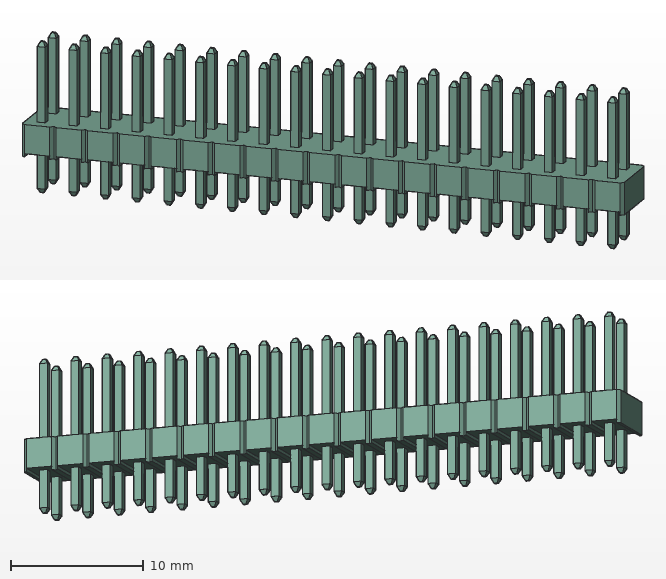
import cadquery as cq

strip_length = 48.25
column_count = 19
row_count = 2
pitch = strip_length / column_count

strip_width = row_count * pitch
strip_height = 2.55
corner_chamfer = 0.255
foot_width = corner_chamfer
channel_depth = 0.255

overall_height = 11.9
pin_size = pitch / 4
pin_above_strip = 6.3
pin_top = strip_height + pin_above_strip
pin_bottom = pin_top - overall_height
tip_height = 0.36
tip_size = 0.255


def grid_positions(count):
    """Positions of evenly pitched items, centred on zero."""
    return [(index - (count - 1) / 2) * pitch for index in range(count)]


def make_cell(x):
    """One strip cell: chamfered vertical corners and a channel across its underside."""
    block = (
        cq.Workplane("XY")
        .center(x, 0)
        .rect(pitch, strip_width)
        .extrude(strip_height)
        .edges("|Z")
        .chamfer(corner_chamfer)
    )
    channel = (
        cq.Workplane("XY")
        .center(x, 0)
        .rect(pitch - 2 * foot_width, strip_width)
        .extrude(channel_depth)
    )
    return block.cut(channel)


def make_tip(shoulder_z, end_z):
    """Tapered square pin end from the shoulder to the flat end."""
    return (
        cq.Workplane("XY", origin=(0, 0, shoulder_z))
        .rect(pin_size, pin_size)
        .workplane(offset=end_z - shoulder_z)
        .rect(tip_size, tip_size)
        .loft(ruled=True)
    )


def make_pin():
    """Square pin on the Z axis, tapered at both ends."""
    lower_shoulder = pin_bottom + tip_height
    upper_shoulder = pin_top - tip_height
    shank = (
        cq.Workplane("XY", origin=(0, 0, lower_shoulder))
        .rect(pin_size, pin_size)
        .extrude(upper_shoulder - lower_shoulder)
    )
    return shank.union(make_tip(upper_shoulder, pin_top)).union(make_tip(lower_shoulder, pin_bottom))


columns = grid_positions(column_count)
rows = grid_positions(row_count)

cells = [make_cell(x).val() for x in columns]
pin = make_pin().val()
pins = [pin.translate(cq.Vector(x, y, 0)) for x in columns for y in rows]

result = cq.Workplane(cells[0].fuse(*cells[1:], *pins).clean())